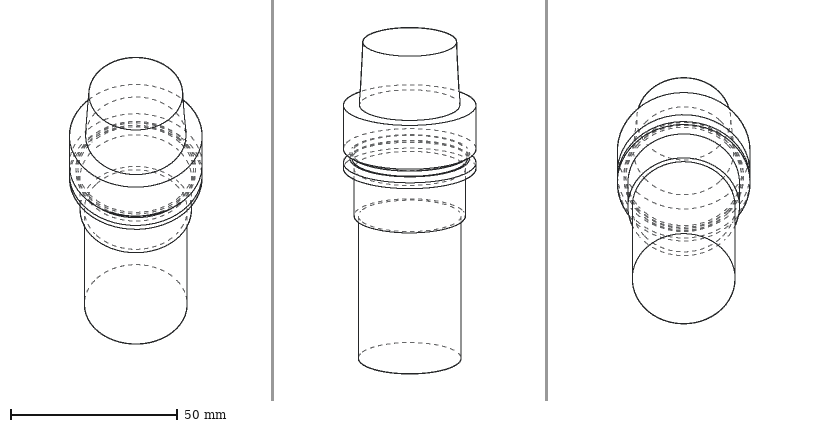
import cadquery as cq

total_height = 100.0
shank_top = 45.0
flange_bottom = 60.0
flange_top = 80.0
taper_bottom = 81.5

shank_diameter = 31.0
shoulder_diameter = 33.6
flange_diameter = 40.0
neck_diameter = 30.2
taper_top_diameter = 28.3

groove_center = 64.0
groove_floor_diameter = 34.8
groove_floor_width = 1.8
groove_mouth_width = 4.3
groove_bevel_depth = 2.0


def cylinder(diameter, bottom, top):
    """Solid cylinder on the Z axis between two levels."""
    return cq.Workplane("XY").workplane(offset=bottom).circle(diameter / 2).extrude(top - bottom)


def taper():
    """Conical nose that narrows towards the top face."""
    return (
        cq.Workplane("XY")
        .workplane(offset=taper_bottom)
        .circle(neck_diameter / 2)
        .workplane(offset=total_height - taper_bottom)
        .circle(taper_top_diameter / 2)
        .loft(ruled=True)
    )


def groove_cutter():
    """Ring with a bevelled mouth and a narrower, straight-sided floor."""
    mouth_radius = flange_diameter / 2
    bevel_radius = mouth_radius - groove_bevel_depth
    floor_radius = groove_floor_diameter / 2
    floor_low = groove_center - groove_floor_width / 2
    floor_high = groove_center + groove_floor_width / 2
    mouth_low = groove_center - groove_mouth_width / 2
    mouth_high = groove_center + groove_mouth_width / 2
    return (
        cq.Workplane("XZ")
        .moveTo(floor_radius, floor_low)
        .lineTo(bevel_radius, floor_low)
        .lineTo(mouth_radius, mouth_low)
        .lineTo(mouth_radius, mouth_high)
        .lineTo(bevel_radius, floor_high)
        .lineTo(floor_radius, floor_high)
        .close()
        .revolve(360, (0, 0, 0), (0, 1, 0))
    )


shank = cylinder(shank_diameter, 0, shank_top)
shoulder = cylinder(shoulder_diameter, shank_top, flange_bottom)
flange = cylinder(flange_diameter, flange_bottom, flange_top).cut(groove_cutter())
neck = cylinder(neck_diameter, flange_top, taper_bottom)

result = shank.union(shoulder).union(flange).union(neck).union(taper())